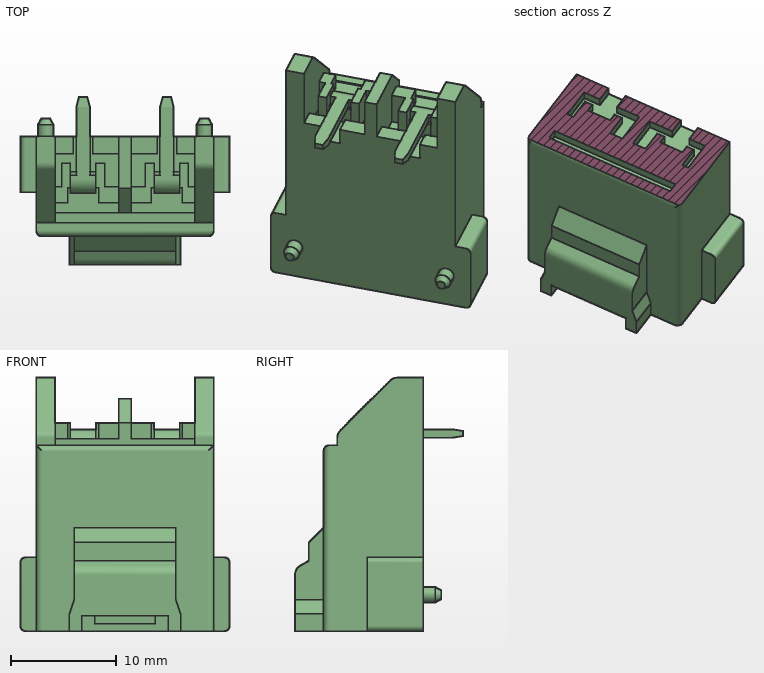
import cadquery as cq
import math


body_width = 16.8
body_depth = 9.45
shoulder_height = 17.6
body_round = 0.55
wall_thickness = 1.8
inner_half_width = body_width / 2 - wall_thickness

cheek_height = 24.0
cheek_front = -8.15
cheek_slope_end_height = 18.7
cheek_slope_run = cheek_height - cheek_slope_end_height
cheek_flat_end = cheek_front + cheek_slope_run
cheek_round = 0.9

deck_height = 18.2
deck_front = -7.2
well_floor_height = 16.6
seat_back = -3.36
terminal_block_height = 19.7
back_bar_depth = 1.65
back_bar_gap = 1.84

rib_width = 1.2
rib_height = 22.0
rib_flat_end = -4.9

contact_pitch = 7.92
contact_top = 19.1
contact_thickness = 0.8
pin_width = 1.3
pin_end = 3.75
pin_taper_length = 0.95
pin_tip_width = 0.8
pin_tip_thickness = 0.5
pin_root = -3.65
contact_width = 2.4
contact_front = -5.45
contact_bend_radius = 1.35

guide_arm_width = 0.83
guide_arm_back = -2.55
guide_arm_front = -4.85
guide_block_back = -4.75
guide_block_front = -6.28
guide_block_gap = 2.92

wing_span = 19.8
wing_depth = 5.3
wing_height = 7.0
wing_round = 0.5

peg_offset = 7.5
peg_height = 3.45
peg_radius = 0.75
peg_length = 1.7
peg_tip_length = 0.6
peg_tip_radius = 0.42

latch_top = 9.8
latch_step_front = -10.85
latch_step_bottom = 6.67
latch_front = -12.15
latch_slope_angle = 30
latch_round = 1.0
latch_width = 9.6
latch_foot_width = 10.5
foot_taper_top = 3.0
foot_taper_bottom = 1.65
notch_width = 8.15
notch_height = 1.48
recess_width = 5.76
recess_bottom = 0.71
recess_depth = 1.0


def box(x_min, x_max, y_min, y_max, z_min, z_max):
    """Axis-aligned box between the given limits."""
    return cq.Workplane("XY").box(
        x_max - x_min, y_max - y_min, z_max - z_min, centered=False
    ).translate((x_min, y_min, z_min))


def centered_box(width, y_min, y_max, z_min, z_max):
    """Box of the given width, centred on x = 0."""
    return box(-width / 2, width / 2, y_min, y_max, z_min, z_max)


def side_profile(points, width):
    """Solid from a (y, z) outline, centred on x = 0."""
    return cq.Workplane("YZ").polyline(points).close().extrude(width / 2, both=True)


def round_edge_along_x(solid, y, z, radius):
    """Fillet the one edge parallel to X that passes through (y, z)."""
    edge = cq.selectors.NearestToPointSelector((0, y, z))
    return solid.edges("|X").edges(edge).fillet(radius)


def make_housing():
    """Block with a sunken terminal well and a catch recess low on its front face."""
    body = centered_box(body_width, -body_depth, 0, 0, shoulder_height)
    body = body.faces("<Y").edges("|Z or >Z").fillet(body_round)
    well = centered_box(2 * inner_half_width, cheek_front, 0, well_floor_height, shoulder_height)
    deck = centered_box(
        2 * inner_half_width, deck_front, guide_block_back, well_floor_height, deck_height
    )
    recess = centered_box(
        recess_width, -body_depth, recess_depth - body_depth, recess_bottom, notch_height
    )
    return body.cut(well).union(deck).cut(recess)


def make_cheek(side):
    outline = [
        (0, shoulder_height),
        (0, cheek_height),
        (cheek_flat_end, cheek_height),
        (cheek_front, cheek_slope_end_height),
        (cheek_front, shoulder_height),
    ]
    cheek = side_profile(outline, wall_thickness)
    for y, z in ((cheek_flat_end, cheek_height), (cheek_front, cheek_slope_end_height)):
        cheek = round_edge_along_x(cheek, y, z, cheek_round)
    return cheek.translate((side * (body_width - wall_thickness) / 2, 0, 0))


def make_rib():
    outline = [
        (0, well_floor_height),
        (0, rib_height),
        (rib_flat_end, rib_height),
        (deck_front, terminal_block_height),
        (deck_front, well_floor_height),
    ]
    return side_profile(outline, rib_width)


def make_contact(x):
    """Bent pin with a tapered tip, standing on its seat in the well."""
    contact_bottom = contact_top - contact_thickness
    middle_height = contact_top - contact_thickness / 2
    shaft_end = pin_end - pin_taper_length
    shaft = centered_box(pin_width, pin_root, shaft_end, contact_bottom, contact_top)
    tip = (
        cq.Workplane("XZ", origin=(0, shaft_end, middle_height))
        .rect(pin_width, contact_thickness)
        .workplane(offset=-pin_taper_length)
        .rect(pin_tip_width, pin_tip_thickness)
        .loft()
    )
    head = centered_box(contact_width, contact_front, pin_root, well_floor_height, contact_top)
    head = head.edges("|X and >Z and <Y").fillet(contact_bend_radius)
    seat = centered_box(contact_width, guide_block_back, seat_back, well_floor_height, deck_height)
    return shaft.union(tip).union(head).union(seat).translate((x, 0, 0))


def make_guides(x):
    """Two stepped blocks flanking the contact centred at x."""
    guides = cq.Workplane("XY")
    centre = abs(x)
    arm_inner = contact_width / 2
    arm_outer = arm_inner + guide_arm_width
    block_inner = guide_block_gap / 2
    z_range = (well_floor_height, terminal_block_height)
    for side, limit in ((-1, rib_width / 2), (1, inner_half_width)):
        arm_edges = sorted((centre + side * arm_inner, centre + side * arm_outer))
        block_edges = sorted((centre + side * block_inner, limit))
        arm = box(*arm_edges, guide_arm_front, guide_arm_back, *z_range)
        block = box(*block_edges, guide_block_front, guide_block_back, *z_range)
        guides = guides.union(arm).union(block)
    return guides if x > 0 else guides.mirror("YZ")


def make_back_bar():
    bar = centered_box(2 * inner_half_width, -back_bar_depth, 0, well_floor_height, deck_height)
    for side in (-1, 1):
        gap = centered_box(back_bar_gap, -back_bar_depth, 0, well_floor_height, deck_height)
        bar = bar.cut(gap.translate((side * contact_pitch / 2, 0, 0)))
    return bar


def make_wings():
    wings = centered_box(wing_span, -wing_depth, 0, 0, wing_height)
    return wings.edges("|Y").fillet(wing_round)


def make_peg(x):
    outline = [
        (0, 0),
        (peg_radius, 0),
        (peg_radius, peg_length - peg_tip_length),
        (peg_tip_radius, peg_length),
        (0, peg_length),
    ]
    peg = cq.Workplane("XY").polyline(outline).close().revolve(360, (0, 0, 0), (0, 1, 0))
    return peg.translate((x, 0, peg_height))


def make_latch():
    """Stepped latch with a rounded nose, flared feet and a notch between the feet."""
    step_top = latch_top - (-body_depth - latch_step_front)
    slope_drop = (latch_step_front - latch_front) * math.tan(math.radians(latch_slope_angle))
    nose_height = latch_step_bottom - slope_drop
    outline = [
        (-body_depth, 0),
        (-body_depth, latch_top),
        (latch_step_front, step_top),
        (latch_step_front, latch_step_bottom),
        (latch_front, nose_height),
        (latch_front, 0),
    ]
    latch = side_profile(outline, latch_foot_width)
    latch = round_edge_along_x(latch, latch_front, nose_height, latch_round)
    front_outline = [
        (latch_foot_width / 2, 0),
        (latch_foot_width / 2, foot_taper_bottom),
        (latch_width / 2, foot_taper_top),
        (latch_width / 2, latch_top),
        (-latch_width / 2, latch_top),
        (-latch_width / 2, foot_taper_top),
        (-latch_foot_width / 2, foot_taper_bottom),
        (-latch_foot_width / 2, 0),
    ]
    envelope = cq.Workplane("XZ").polyline(front_outline).close().extrude(-latch_front)
    notch = centered_box(notch_width, latch_front, -body_depth, 0, notch_height)
    return latch.intersect(envelope).cut(notch)


result = make_housing()
for feature in (make_rib(), make_back_bar(), make_wings(), make_latch()):
    result = result.union(feature)
for side in (-1, 1):
    contact_x = side * contact_pitch / 2
    result = result.union(make_cheek(side))
    result = result.union(make_contact(contact_x))
    result = result.union(make_guides(contact_x))
    result = result.union(make_peg(side * peg_offset))